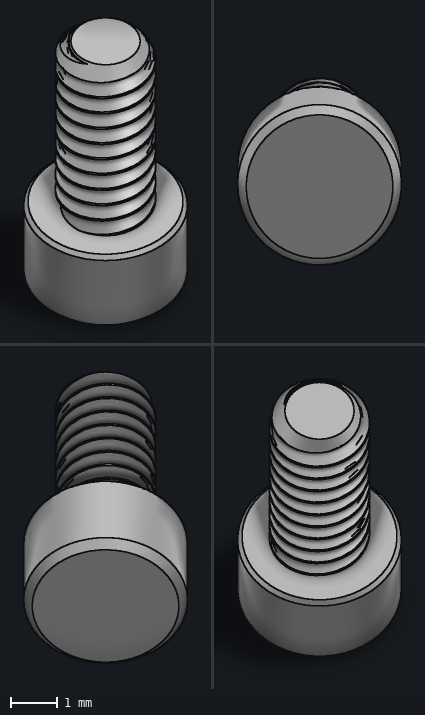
import cadquery as cq
import math

total_length = 6.95
head_height = 2.195
head_radius = 1.78
head_base_chamfer = 0.19
head_shoulder_chamfer = 0.1

major_radius = 1.09
root_radius = 0.79
ten_turn_rise = 4.54
pitch = ten_turn_rise / 10
crest_width = pitch / 8
crest_height = 6.345
flank_half_angle = 30.0
tip_radius = 0.75
envelope_clearance = 0.07
flank_samples = 20

shank_length = total_length - head_height
envelope_chamfer = major_radius - tip_radius + envelope_clearance


def make_head():
    head = cq.Workplane("XY").circle(head_radius).extrude(head_height)
    head = head.faces("<Z").edges().chamfer(head_base_chamfer)
    return head.faces(">Z").edges().chamfer(head_shoulder_chamfer)


def make_thread():
    flank_drop = (major_radius - root_radius) * math.tan(math.radians(flank_half_angle))
    half_crest = math.pi * crest_width / pitch
    flank_angle = 2 * math.pi * flank_drop / pitch

    def polar(radius, angle):
        return radius * math.cos(angle), radius * math.sin(angle)

    def falling_flank(t):
        radius = major_radius + t * (root_radius - major_radius)
        return polar(radius, half_crest + t * flank_angle)

    def rising_flank(t):
        x, y = falling_flank(1 - t)
        return x, -y

    cam = (
        cq.Workplane("XY")
        .moveTo(*polar(major_radius, -half_crest))
        .threePointArc((major_radius, 0), polar(major_radius, half_crest))
        .parametricCurve(falling_flank, N=flank_samples, makeWire=False)
        .threePointArc((-root_radius, 0), rising_flank(0))
        .parametricCurve(rising_flank, N=flank_samples, makeWire=False)
        .wire()
    )
    crest_bearing = 360 * (head_height - crest_height) / pitch
    thread = cam.twistExtrude(shank_length, 360 * shank_length / pitch)
    return thread.rotate((0, 0, 0), (0, 0, 1), crest_bearing).translate((0, 0, head_height))


def make_tip_envelope():
    envelope = cq.Workplane("XY", origin=(0, 0, head_height))
    envelope = envelope.circle(tip_radius + envelope_chamfer).extrude(shank_length)
    return envelope.faces(">Z").edges().chamfer(envelope_chamfer)


threaded_shank = make_thread().intersect(make_tip_envelope())
result = make_head().union(threaded_shank)